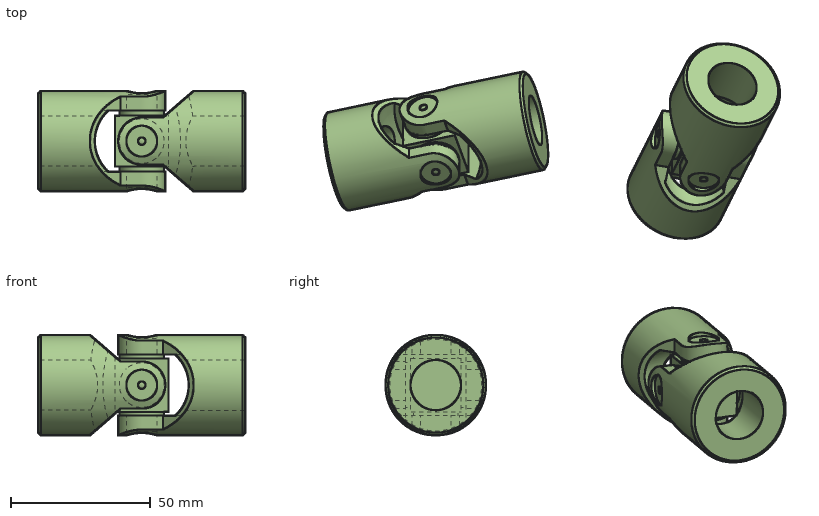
import cadquery as cq

joint_length = 74.0
body_diameter = 36.0
bore_diameter = 18.0
end_chamfer = 0.95

arm_half_width = 8.4
arm_inner_offset = 10.9
shoulder_start = 18.6
shoulder_end = 7.55
barrel_radius = 14.4
barrel_bulge = 2.6
cavity_floor = 18.9

block_length = 19.2
block_width = 18.2
block_height = 19.2
collar_diameter = 16.0
pin_diameter = 11.0
pin_reach = 16.6
nub_diameter = 2.7
nub_rim_height = 0.2
nub_height = 0.45

half_length = joint_length / 2
body_radius = body_diameter / 2


def fork_outline():
    """Side profile of a yoke, broad at the hub and tapering to a rounded arm tip."""
    return (
        cq.Workplane("XZ")
        .moveTo(-half_length, -body_radius)
        .lineTo(-shoulder_start, -body_radius)
        .lineTo(-shoulder_end, -arm_half_width)
        .lineTo(0, -arm_half_width)
        .threePointArc((arm_half_width, 0), (0, arm_half_width))
        .lineTo(-shoulder_end, arm_half_width)
        .lineTo(-shoulder_start, body_radius)
        .lineTo(-half_length, body_radius)
        .close()
        .extrude(body_radius, both=True)
    )


def fork_cavity():
    """Space between the arms, its concave floor the end of a barrel turned about a line along Z."""
    barrel_centre = barrel_radius - cavity_floor
    barrel_end_radius = barrel_radius - barrel_bulge
    barrel = (
        cq.Workplane("XY")
        .moveTo(barrel_centre, -body_radius)
        .lineTo(barrel_centre - barrel_end_radius, -body_radius)
        .threePointArc((-cavity_floor, 0), (barrel_centre - barrel_end_radius, body_radius))
        .lineTo(barrel_centre, body_radius)
        .close()
        .revolve(360, (barrel_centre, -body_radius, 0), (barrel_centre, body_radius, 0))
    )
    slot_height = 2 * arm_inner_offset
    slot_slab = cq.Workplane("XY").box(joint_length, body_diameter, slot_height)
    open_end = cq.Workplane("XY", origin=(barrel_centre, 0, 0)).box(
        half_length, body_diameter, slot_height, centered=(False, True, True)
    )
    return barrel.intersect(slot_slab).union(open_end).rotate((0, 0, 0), (1, 0, 0), 90)


def make_yoke():
    """Yoke with its hub towards -X and its arms on the Y sides."""
    body = (
        cq.Workplane("YZ")
        .circle(body_radius)
        .extrude(half_length, both=True)
        .faces("<X")
        .chamfer(end_chamfer)
    )
    shaft_bore = cq.Workplane("YZ").circle(bore_diameter / 2).extrude(-half_length)
    pin_holes = cq.Workplane("XZ").circle(pin_diameter / 2).extrude(body_radius, both=True)
    return body.intersect(fork_outline()).cut(fork_cavity()).cut(shaft_bore).cut(pin_holes)


def make_trunnion():
    """One stepped pin of the cross along +Z, with a domed nub on its end."""
    collar = cq.Workplane("XY").circle(collar_diameter / 2).extrude(arm_inner_offset)
    pin = cq.Workplane("XY").circle(pin_diameter / 2).extrude(pin_reach)
    dome_rise = nub_height - nub_rim_height
    dome_radius = ((nub_diameter / 2) ** 2 + dome_rise**2) / (2 * dome_rise)
    dome_centre = pin_reach + nub_height - dome_radius
    dome_ball = cq.Workplane("XY", origin=(0, 0, dome_centre)).sphere(dome_radius)
    nub_post = cq.Workplane("XY", origin=(0, 0, pin_reach)).circle(nub_diameter / 2).extrude(nub_height)
    nub = nub_post.intersect(dome_ball)
    return collar.union(pin).union(nub)


def make_cross():
    """Central block carrying four trunnions along +Z, -Y, -Z and +Y."""
    cross = cq.Workplane("XY").box(block_length, block_width, block_height)
    trunnion = make_trunnion()
    for angle in (0, 90, 180, 270):
        cross = cross.union(trunnion.rotate((0, 0, 0), (1, 0, 0), angle))
    return cross


yokes = []
for facing_angle, roll_angle in ((0, 0), (180, 90)):
    yoke = make_yoke().rotate((0, 0, 0), (0, 0, 1), facing_angle)
    yokes.append(yoke.rotate((0, 0, 0), (1, 0, 0), roll_angle))

cross = make_cross()

result = cq.Compound.makeCompound([*(yoke.val() for yoke in yokes), cross.val()])